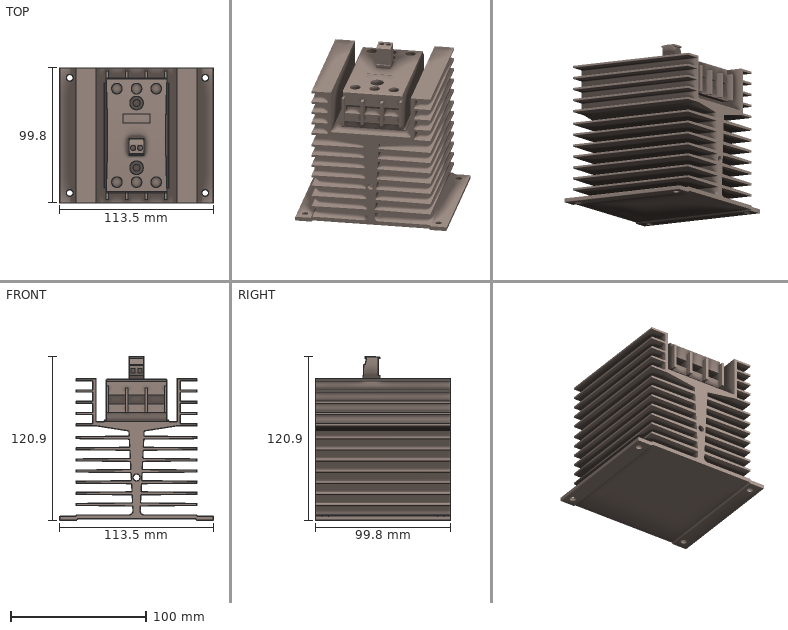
import cadquery as cq

LENGTH = 99.8
BASE_HALF_WIDTH = 113.5 / 2
FOOT_TOP = 3.0
BASE_RAISE = 1.0
STEP_OUTER_TOP = 45.0
STEP_OUTER_BOTTOM = 44.5
FOOT_HOLE_DIAMETER = 4.8
FOOT_HOLE_SPACING_X = 100.0
FOOT_HOLE_SPACING_Y = 85.0
FOOT_HOLE_SHIFT_X = 0.7

FIN_HALF_WIDTH = 44.6
FIN_TIP = 1.6
FIN_ROOT = 2.4
LOWER_FIN_COUNT = 7
LOWER_FIN_FIRST = 11.7
LOWER_FIN_PITCH = 8.22
UPPER_FIN_COUNT = 5
UPPER_FIN_PITCH = 8.3
HEATSINK_TOP = 104.5

STEM_BOTTOM_HALF = 2.55
STEM_TOP = 65.9
STEM_TOP_HALF = 5.7
STEM_HOLE_DIAMETER = 5.0
STEM_HOLE_Z = 31.6

TRAY_HALF_WIDTH = 29.9
TRAY_WALL = 2.5
TRAY_FLOOR = 72.9
BASE_FILLET = 3.0
ROOT_FILLET = 0.5
TIP_FILLET = 0.25
BASE_EDGE_FILLET = 0.5

BODY_HALF_WIDTH = 22.4
BODY_HALF_LENGTH = 42.5
BODY_CROWN_TOP = HEATSINK_TOP - 0.1
BODY_SHOULDER = 103.4
END_BEVEL = 1.0
SIDE_BEVEL = 1.0
PLINTH_HALF_LENGTH = 38.0
PLINTH_TOP = 79.4
FLANGE_HALF_WIDTH = 24.0
FLANGE_HALF_LENGTH = 38.7
FLANGE_THICKNESS = 1.0
FLANGE_CHAMFER = 0.5

BARRIER_HALF_LENGTH = 47.4
OUTER_BARRIER = 1.7
OUTER_BARRIER_TOP = 99.1
INNER_BARRIER = 2.0
INNER_BARRIER_TOP = 97.7
POLE_PITCH = 14.5
POCKET_BOTTOM = 85.9
POCKET_TOP = 92.5
POCKET_DEPTH = 12.0

TERMINAL_HOLE_DIAMETER = 7.8
TERMINAL_HOLE_DEPTH = 5.0
TERMINAL_HOLE_Y = 34.5
SCREW_HOLE_DIAMETER = 5.0
SCREW_HEAD_DIAMETER = 10.0
SCREW_SEAT = 84.0
SCREW_Y = 23.9
LABEL_LENGTH = 19.9
LABEL_WIDTH = 6.7
LABEL_Y = 12.6
LABEL_DEPTH = 0.2

PLUG_TOP = 120.9
PLUG_FOOT_TOP = 107.0
PLUG_LIP_BOTTOM = 119.6
PLUG_FRONT = -14.9
PLUG_WIDTH = 10.8
PLUG_POLE_X = 2.5
PLUG_HOLE_Y = -9.2
PLUG_HOLE_DIAMETER = 3.8
PLUG_HOLE_DEPTH = 6.0
WINDOW_WIDTH = 2.9
WINDOW_BOTTOM = 108.7
WINDOW_HEIGHT = 3.5
WINDOW_DEPTH = 3.0


def box(x0, x1, y0, y1, z0, z1):
    """Block between two opposite corners."""
    return cq.Workplane("XY").box(x1 - x0, y1 - y0, z1 - z0, centered=False).translate((x0, y0, z0))


def cylinder(x, y, z0, z1, diameter):
    """Upright cylinder between two heights."""
    return cq.Workplane("XY", origin=(x, y, z0)).circle(diameter / 2).extrude(z1 - z0)


def stem_half(z):
    """Half thickness of the tapered stem at height z."""
    base_top = FOOT_TOP + BASE_RAISE
    share = (z - base_top) / (STEM_TOP - base_top)
    return STEM_BOTTOM_HALF + share * (STEM_TOP_HALF - STEM_BOTTOM_HALF)


def heatsink():
    """Finned extrusion: feet, tapered stem with fins, and a finned tray on top."""
    base_top = FOOT_TOP + BASE_RAISE
    wall_outer = TRAY_HALF_WIDTH + TRAY_WALL
    base_corner = (stem_half(base_top), base_top)
    step_corners = [(STEP_OUTER_TOP, FOOT_TOP), (STEP_OUTER_TOP - BASE_RAISE, base_top)]
    foot_corners = [(BASE_HALF_WIDTH, 0), (BASE_HALF_WIDTH, FOOT_TOP)]
    half = [
        (STEP_OUTER_BOTTOM - BASE_RAISE, BASE_RAISE),
        (STEP_OUTER_BOTTOM, 0),
        *foot_corners,
        *step_corners,
        base_corner,
    ]
    roots = []
    tips = []
    for i in range(LOWER_FIN_COUNT):
        z = LOWER_FIN_FIRST + i * LOWER_FIN_PITCH
        under = (stem_half(z - FIN_ROOT / 2), z - FIN_ROOT / 2)
        over = (stem_half(z + FIN_ROOT / 2), z + FIN_ROOT / 2)
        tip = [(FIN_HALF_WIDTH, z - FIN_TIP / 2), (FIN_HALF_WIDTH, z + FIN_TIP / 2)]
        half += [under, *tip, over]
        roots += [under, over]
        tips += tip

    lowest_top = HEATSINK_TOP - (UPPER_FIN_COUNT - 1) * UPPER_FIN_PITCH
    stem_corner = (STEM_TOP_HALF, STEM_TOP)
    half += [stem_corner, (TRAY_HALF_WIDTH, lowest_top - FIN_TIP)]
    roots.append(stem_corner)
    for i in range(UPPER_FIN_COUNT):
        top = lowest_top + i * UPPER_FIN_PITCH
        under = (wall_outer, top - FIN_TIP)
        over = (wall_outer, top)
        if i > 0:
            half.append(under)
            roots.append(under)
        tip = [(FIN_HALF_WIDTH, top - FIN_TIP), (FIN_HALF_WIDTH, top)]
        half += tip
        tips += tip
        if i < UPPER_FIN_COUNT - 1:
            half.append(over)
            roots.append(over)
    tray_corner = (TRAY_HALF_WIDTH, TRAY_FLOOR)
    half += [(TRAY_HALF_WIDTH, HEATSINK_TOP), tray_corner]
    roots.append(tray_corner)

    outline = half + [(-x, z) for x, z in reversed(half)]
    body = cq.Workplane("XZ").polyline(outline).close().extrude(LENGTH / 2, both=True)
    body = fillet_corners(body, [base_corner], BASE_FILLET)
    body = fillet_corners(body, roots, ROOT_FILLET)
    body = fillet_corners(body, tips, TIP_FILLET)
    body = fillet_corners(body, foot_corners + step_corners, BASE_EDGE_FILLET)

    stem_hole = cq.Workplane("XZ", origin=(0, 0, STEM_HOLE_Z)).circle(STEM_HOLE_DIAMETER / 2)
    body = body.cut(stem_hole.extrude(LENGTH, both=True))
    for x in (-FOOT_HOLE_SPACING_X / 2, FOOT_HOLE_SPACING_X / 2):
        for y in (-FOOT_HOLE_SPACING_Y / 2, FOOT_HOLE_SPACING_Y / 2):
            body = body.cut(cylinder(x + FOOT_HOLE_SHIFT_X, y, 0, FOOT_TOP, FOOT_HOLE_DIAMETER))
    return body


def fillet_corners(body, corners, radius):
    """Round the lengthwise edges at the given (x, z) corners and at their mirror images."""
    places = [(side * x, z) for x, z in corners for side in (-1, 1)]
    edges = [body.edges(cq.NearestToPointSelector((x, 0, z))).val() for x, z in places]
    return body.newObject(edges).fillet(radius)


def module_body():
    """Crowned housing, bevelled along its sides and ends, on a shorter plinth."""
    crown_end = BODY_HALF_LENGTH - END_BEVEL
    side = (
        cq.Workplane("YZ")
        .moveTo(-PLINTH_HALF_LENGTH, TRAY_FLOOR)
        .lineTo(PLINTH_HALF_LENGTH, TRAY_FLOOR)
        .lineTo(PLINTH_HALF_LENGTH, PLINTH_TOP)
        .lineTo(BODY_HALF_LENGTH, PLINTH_TOP)
        .lineTo(BODY_HALF_LENGTH, BODY_SHOULDER - END_BEVEL)
        .lineTo(crown_end, BODY_SHOULDER)
        .threePointArc((0, BODY_CROWN_TOP), (-crown_end, BODY_SHOULDER))
        .lineTo(-BODY_HALF_LENGTH, BODY_SHOULDER - END_BEVEL)
        .lineTo(-BODY_HALF_LENGTH, PLINTH_TOP)
        .lineTo(-PLINTH_HALF_LENGTH, PLINTH_TOP)
        .close()
        .extrude(BODY_HALF_WIDTH, both=True)
    )
    envelope = box(
        -BODY_HALF_WIDTH, BODY_HALF_WIDTH, -BODY_HALF_LENGTH, BODY_HALF_LENGTH, TRAY_FLOOR, BODY_CROWN_TOP
    )
    envelope = envelope.edges("|Y and >Z").chamfer(SIDE_BEVEL)
    flange = box(
        -FLANGE_HALF_WIDTH, FLANGE_HALF_WIDTH, -FLANGE_HALF_LENGTH, FLANGE_HALF_LENGTH,
        TRAY_FLOOR, TRAY_FLOOR + FLANGE_THICKNESS,
    )
    flange = flange.edges("|Y and >Z").chamfer(FLANGE_CHAMFER)
    end_gap = box(
        -BODY_HALF_WIDTH, BODY_HALF_WIDTH, PLINTH_HALF_LENGTH, FLANGE_HALF_LENGTH,
        TRAY_FLOOR, PLINTH_TOP,
    )
    flange = flange.cut(end_gap).cut(end_gap.mirror("XZ"))
    return side.intersect(envelope).union(flange)


def add_terminals(body):
    """Wire pockets, phase barriers and clamp screw holes at both ends."""
    pocket_width = POLE_PITCH - INNER_BARRIER
    outer_inside = BODY_HALF_WIDTH - OUTER_BARRIER
    inner = POLE_PITCH / 2
    barriers = [
        (-BODY_HALF_WIDTH, -outer_inside, OUTER_BARRIER_TOP),
        (-inner - INNER_BARRIER / 2, -inner + INNER_BARRIER / 2, INNER_BARRIER_TOP),
        (inner - INNER_BARRIER / 2, inner + INNER_BARRIER / 2, INNER_BARRIER_TOP),
        (outer_inside, BODY_HALF_WIDTH, OUTER_BARRIER_TOP),
    ]
    pocket_back = BODY_HALF_LENGTH - POCKET_DEPTH
    for x0, x1, top in barriers:
        barrier = box(x0, x1, pocket_back, BARRIER_HALF_LENGTH, PLINTH_TOP, top)
        body = body.union(barrier).union(barrier.mirror("XZ"))
    for pole in (-1, 0, 1):
        x = pole * POLE_PITCH
        pocket = box(
            x - pocket_width / 2, x + pocket_width / 2, pocket_back, BODY_HALF_LENGTH,
            POCKET_BOTTOM, POCKET_TOP,
        )
        hole = cylinder(
            x, TERMINAL_HOLE_Y, BODY_SHOULDER - TERMINAL_HOLE_DEPTH, BODY_CROWN_TOP, TERMINAL_HOLE_DIAMETER
        )
        for cut in (pocket, hole):
            body = body.cut(cut).cut(cut.mirror("XZ"))
    return body


def add_screw_holes(body):
    """Two counterbored fixing holes down to the heatsink."""
    for y in (-SCREW_Y, SCREW_Y):
        body = body.cut(cylinder(0, y, TRAY_FLOOR, BODY_CROWN_TOP, SCREW_HOLE_DIAMETER))
        body = body.cut(cylinder(0, y, SCREW_SEAT, BODY_CROWN_TOP, SCREW_HEAD_DIAMETER))
    return body


def add_label_recess(body):
    """Shallow label field that follows the crowned top."""
    field = box(
        -LABEL_LENGTH / 2, LABEL_LENGTH / 2, LABEL_Y - LABEL_WIDTH / 2, LABEL_Y + LABEL_WIDTH / 2,
        PLINTH_TOP, BODY_CROWN_TOP,
    )
    lowered = body.translate((0, 0, -LABEL_DEPTH))
    return body.cut(field.cut(lowered))


def control_plug():
    """Two-pole plug with clamp screw holes on top and wire windows in front."""
    half = PLUG_WIDTH / 2
    profile = [
        (-2.2, BODY_SHOULDER),
        (-2.2, PLUG_FOOT_TOP),
        (-3.4, PLUG_FOOT_TOP),
        (-3.4, PLUG_LIP_BOTTOM),
        (-2.2, PLUG_LIP_BOTTOM),
        (-2.2, 120.1),
        (-2.7, 120.4),
        (-6.7, PLUG_TOP),
        (-13.5, PLUG_TOP),
        (-13.5, PLUG_LIP_BOTTOM),
        (-12.2, PLUG_LIP_BOTTOM),
        (-13.3, 115.1),
        (-14.1, 115.1),
        (-14.4, 114.3),
        (-14.6, PLUG_FOOT_TOP),
        (PLUG_FRONT, PLUG_FOOT_TOP),
        (PLUG_FRONT, BODY_SHOULDER),
    ]
    plug = cq.Workplane("YZ").polyline(profile).close().extrude(half, both=True)
    for x in (-PLUG_POLE_X, PLUG_POLE_X):
        plug = plug.cut(cylinder(x, PLUG_HOLE_Y, PLUG_TOP - PLUG_HOLE_DEPTH, PLUG_TOP, PLUG_HOLE_DIAMETER))
        plug = plug.cut(box(
            x - WINDOW_WIDTH / 2, x + WINDOW_WIDTH / 2, PLUG_FRONT, PLUG_FRONT + WINDOW_DEPTH,
            WINDOW_BOTTOM, WINDOW_BOTTOM + WINDOW_HEIGHT,
        ))
    return plug


module = add_label_recess(add_screw_holes(add_terminals(module_body())))
result = heatsink().union(module).union(control_plug())